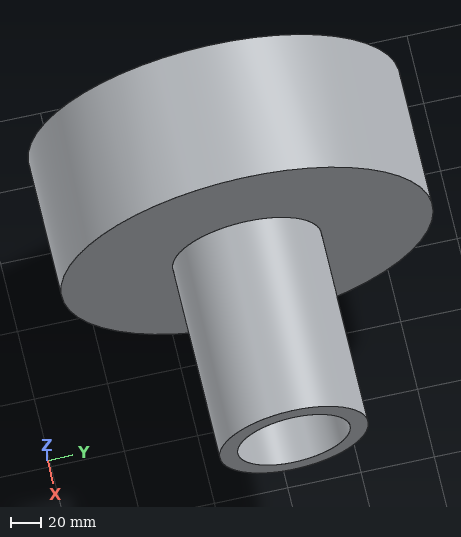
import cadquery as cq

flange_diameter = 254.0
flange_length = 98.3
hub_diameter = 101.5
hub_length = 139.7
bore_diameter = 77.0

total_length = flange_length + hub_length


def cylinder_along_x(diameter, length):
    """Cylinder centred on the X axis, starting at X = 0."""
    return cq.Workplane("YZ").circle(diameter / 2).extrude(length)


flange = cylinder_along_x(flange_diameter, flange_length)
hub = cylinder_along_x(hub_diameter, total_length)

bore = cylinder_along_x(bore_diameter, total_length)

result = flange.union(hub).cut(bore)